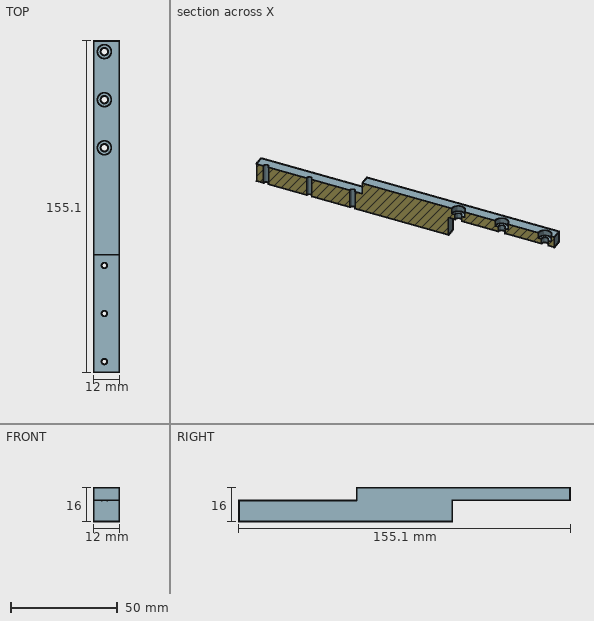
import cadquery as cq

WIDTH = 12.0
BAR_LENGTH = 100.0
TOTAL_LENGTH = 155.09
LOWER_THICKNESS = 10.0
UPPER_THICKNESS = 6.0
TOTAL_HEIGHT = LOWER_THICKNESS + UPPER_THICKNESS
UPPER_START = TOTAL_LENGTH - BAR_LENGTH

HOLE_X = 5.0
END_MARGIN = 5.0
HOLE_PITCH = 22.5
HOLES_PER_ROW = 3
SCREW_DIAMETER = 3.4
COUNTERBORE_DIAMETER = 6.5
COUNTERBORE_DEPTH = 3.0
SMALL_HOLE_DIAMETER = 2.5


def bar(start_y, base_z, thickness):
    """Bar running along +Y from start_y, resting at height base_z."""
    corner = (0, start_y, base_z)
    return cq.Workplane("XY", origin=corner).box(WIDTH, BAR_LENGTH, thickness, centered=False)


def hole_row(first_y, direction):
    """Hole centres along Y, stepping in direction (+1 or -1) from first_y."""
    return [(HOLE_X, first_y + direction * i * HOLE_PITCH) for i in range(HOLES_PER_ROW)]


def drill(points, diameter, top_z, depth):
    """Vertical cylinders reaching down from top_z, used as cutters."""
    return cq.Workplane("XY", origin=(0, 0, top_z)).pushPoints(points).circle(diameter / 2).extrude(-depth)


body = bar(0, 0, LOWER_THICKNESS).union(bar(UPPER_START, LOWER_THICKNESS, UPPER_THICKNESS))

screw_points = hole_row(TOTAL_LENGTH - END_MARGIN, -1)
screw_holes = drill(screw_points, SCREW_DIAMETER, TOTAL_HEIGHT, UPPER_THICKNESS)
counterbores = drill(screw_points, COUNTERBORE_DIAMETER, TOTAL_HEIGHT, COUNTERBORE_DEPTH)

small_points = hole_row(END_MARGIN, 1)
small_holes = drill(small_points, SMALL_HOLE_DIAMETER, LOWER_THICKNESS, LOWER_THICKNESS)

result = body.cut(screw_holes).cut(counterbores).cut(small_holes)